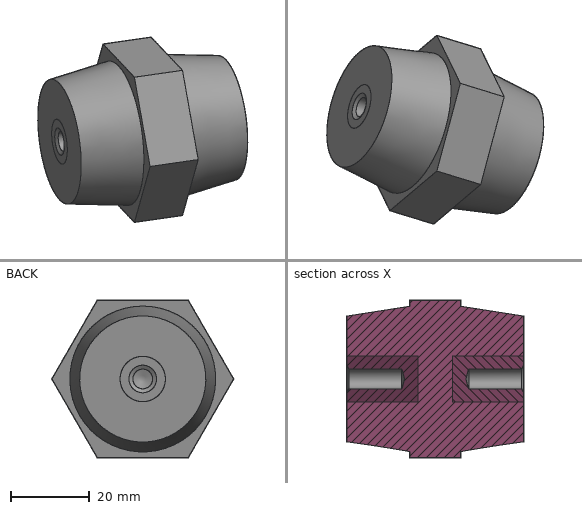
import cadquery as cq
import math


def cone_depth(radius_change, included_angle):
    """Axial length over which a cone of the given included angle changes radius."""
    return radius_change / math.tan(math.radians(included_angle / 2))


overall_length = 45.0
end_offset = overall_length / 2

hex_across_flats = 40.0
hex_across_corners = hex_across_flats / math.cos(math.radians(30))
collar_width = 13.0
cone_base_radius = 37.0 / 2
cone_end_radius = 32.0 / 2

insert_radius = 11.5 / 2
insert_length = 18.0
bore_radius = 5.0 / 2
bore_depth = 14.0
bore_mouth_radius = 7.0 / 2
mouth_chamfer_angle = 120.0
mouth_chamfer_depth = cone_depth(bore_mouth_radius - bore_radius, mouth_chamfer_angle)
bore_tip_angle = 150.0
bore_tip_depth = cone_depth(bore_radius, bore_tip_angle)


def revolve_about_y(profile):
    """Turn a closed profile, drawn as (y, radius), about the Y axis."""
    return profile.close().revolve(360, (0, 0, 0), (1, 0, 0))


def make_housing():
    """Hexagonal collar with a tapered stub on each side and a blind recess in each end."""
    collar = (
        cq.Workplane("XZ")
        .polygon(6, hex_across_corners)
        .extrude(collar_width / 2, both=True)
    )
    stubs = revolve_about_y(
        cq.Workplane("YZ")
        .moveTo(-end_offset, 0)
        .lineTo(-end_offset, cone_end_radius)
        .lineTo(-collar_width / 2, cone_base_radius)
        .lineTo(collar_width / 2, cone_base_radius)
        .lineTo(end_offset, cone_end_radius)
        .lineTo(end_offset, 0)
    )
    housing = collar.union(stubs)
    for side in (-1, 1):
        recess = cq.Solid.makeCylinder(
            insert_radius,
            insert_length,
            cq.Vector(0, side * end_offset, 0),
            cq.Vector(0, -side, 0),
        )
        housing = housing.cut(cq.Workplane(obj=recess))
    return housing


def make_insert(side):
    """Round insert, flush with one end, with a chamfered blind bore ending in a shallow cone."""
    outer_y = side * end_offset
    inner_y = side * (end_offset - insert_length)
    chamfer_y = side * (end_offset - mouth_chamfer_depth)
    bore_floor_y = side * (end_offset - bore_depth)
    bore_tip_y = side * (end_offset - bore_depth - bore_tip_depth)
    return revolve_about_y(
        cq.Workplane("YZ")
        .moveTo(inner_y, 0)
        .lineTo(inner_y, insert_radius)
        .lineTo(outer_y, insert_radius)
        .lineTo(outer_y, bore_mouth_radius)
        .lineTo(chamfer_y, bore_radius)
        .lineTo(bore_floor_y, bore_radius)
        .lineTo(bore_tip_y, 0)
    )


housing = make_housing()
inserts = [make_insert(side) for side in (-1, 1)]

result = cq.Compound.makeCompound([housing.val(), *[insert.val() for insert in inserts]])